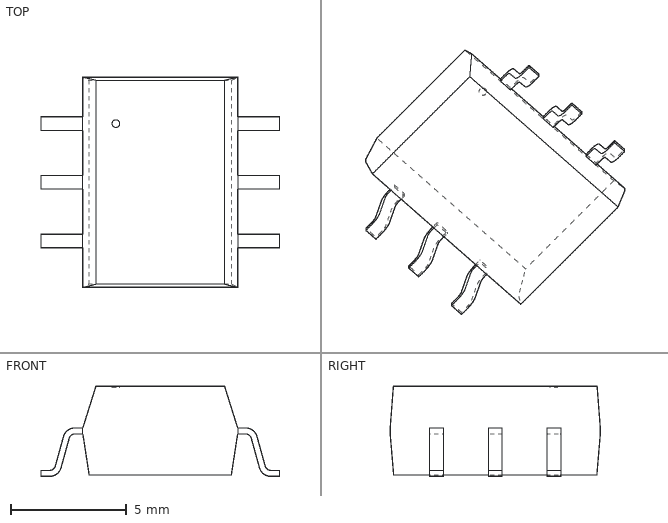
import cadquery as cq
import math

span_x = 10.31
total_height = 3.91

housing_x = 6.7
housing_y = 9.09
top_x = 5.57
top_y = 8.82
bottom_x = 6.15
bottom_y = 8.79
standoff = 0.06
band_top = 2.1

lead_count = 3
lead_pitch = 2.54
lead_width = 0.6
lead_thickness = 0.27
bend_radius = 0.25
shoulder_length = 0.34
leg_lean = 15.5

marker_diameter = 0.33
marker_depth = 0.05
marker_x = -1.92
marker_y = lead_pitch * (lead_count - 1) / 2

band_bottom = band_top - lead_thickness


def frustum(base_z, base_size, end_z, end_size):
    """Solid between two centred rectangles at different heights."""
    return (
        cq.Workplane("XY")
        .workplane(offset=base_z)
        .rect(*base_size)
        .workplane(offset=end_z - base_z)
        .rect(*end_size)
        .loft(ruled=True, combine=True)
    )


def make_marker():
    return (
        cq.Workplane("XY")
        .workplane(offset=total_height - marker_depth)
        .center(marker_x, marker_y)
        .circle(marker_diameter / 2)
        .extrude(marker_depth)
    )


def make_housing(marker):
    band_size = (housing_x, housing_y)
    lower = frustum(band_bottom, band_size, standoff, (bottom_x, bottom_y))
    upper = frustum(band_top, band_size, total_height, (top_x, top_y))
    band = (
        cq.Workplane("XY")
        .workplane(offset=band_bottom)
        .rect(*band_size)
        .extrude(lead_thickness)
    )
    return band.union(lower).union(upper).cut(marker)


def polar(center, radius, degrees):
    """Point on a circle in the XZ plane."""
    angle = math.radians(degrees)
    return (center[0] + radius * math.cos(angle), center[1] + radius * math.sin(angle))


def make_lead(y):
    """One lead of the -X row, centred on y and ending at the housing side."""
    inner = bend_radius
    outer = bend_radius + lead_thickness
    sweep = 90 - leg_lean

    centers_rise = band_bottom - lead_thickness - 2 * inner
    lean = math.radians(leg_lean)
    centers_run = (inner + outer) / math.cos(lean) + centers_rise * math.tan(lean)
    upper_x = -housing_x / 2 - shoulder_length
    upper = (upper_x, band_bottom - inner)
    lower = (upper_x - centers_run, lead_thickness + inner)

    upper_start, upper_mid, upper_end = 90, 90 + sweep / 2, 90 + sweep
    lower_start, lower_mid, lower_end = -90 + sweep, -90 + sweep / 2, -90

    return (
        cq.Workplane("XZ", origin=(0, y, 0))
        .moveTo(-housing_x / 2, band_top)
        .lineTo(*polar(upper, outer, upper_start))
        .threePointArc(polar(upper, outer, upper_mid), polar(upper, outer, upper_end))
        .lineTo(*polar(lower, inner, lower_start))
        .threePointArc(polar(lower, inner, lower_mid), polar(lower, inner, lower_end))
        .lineTo(-span_x / 2, lead_thickness)
        .lineTo(-span_x / 2, 0)
        .lineTo(*polar(lower, outer, lower_end))
        .threePointArc(polar(lower, outer, lower_mid), polar(lower, outer, lower_start))
        .lineTo(*polar(upper, inner, upper_end))
        .threePointArc(polar(upper, inner, upper_mid), polar(upper, inner, upper_start))
        .lineTo(-housing_x / 2, band_bottom)
        .close()
        .extrude(lead_width / 2, both=True)
    )


marker = make_marker()
housing = make_housing(marker)

leads = []
for index in range(lead_count):
    lead_y = (index - (lead_count - 1) / 2) * lead_pitch
    left_lead = make_lead(lead_y)
    right_lead = left_lead.mirror("YZ")
    leads += [left_lead.val(), right_lead.val()]

result = cq.Compound.makeCompound([housing.val(), marker.val(), *leads])